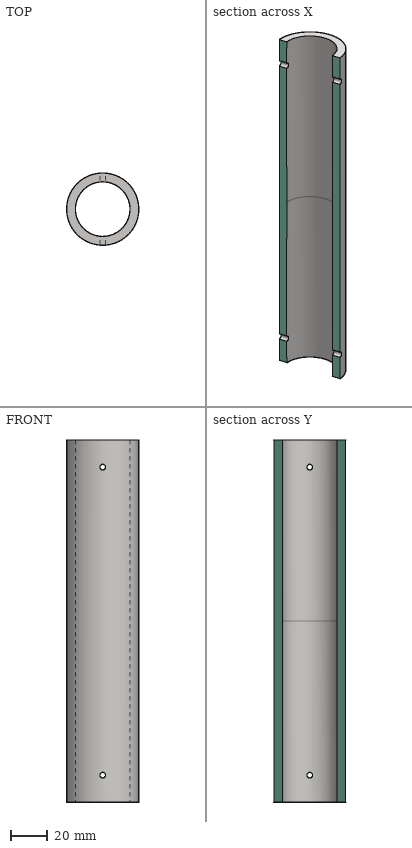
import cadquery as cq

tube_length = 200.0
outer_diameter = 40.0
bore_diameter = 30.0

pin_hole_diameter = 3.0
pin_hole_end_distance = 15.0
pin_hole_height = tube_length / 2 - pin_hole_end_distance


def make_tube():
    """Plain round tube, open at both ends."""
    return (
        cq.Workplane("XY")
        .circle(outer_diameter / 2)
        .circle(bore_diameter / 2)
        .extrude(tube_length / 2, both=True)
    )


def make_pin_holes():
    """Cylinders that pass through both walls of the tube."""
    return (
        cq.Workplane("XZ")
        .pushPoints([(0, -pin_hole_height), (0, pin_hole_height)])
        .circle(pin_hole_diameter / 2)
        .extrude(outer_diameter, both=True)
    )


result = make_tube().cut(make_pin_holes())